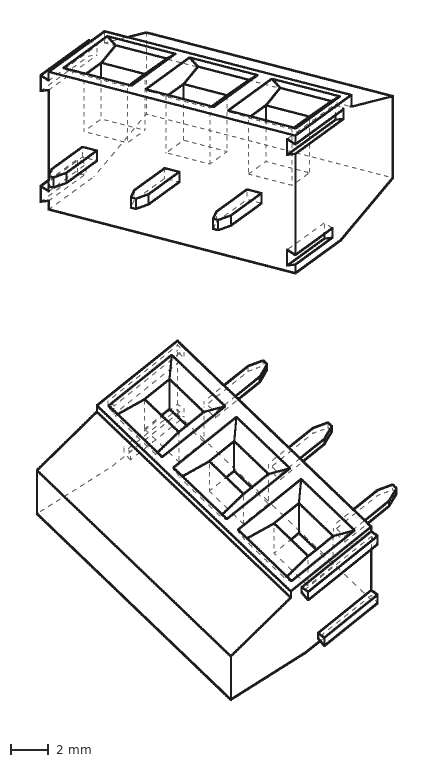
import cadquery as cq
import math


pole_count = 3
pole_pitch = 5.08
body_length = 15.24
body_depth = 10.1
body_height = 8.1
ledge_depth = 5.8
step_height = 0.7
back_slope_angle = 15
bottom_slope_start = 4.7

dovetail_depth = 0.5
dovetail_width = 0.93
dovetail_angle = 20
dovetail_margin = 0.33
upper_dovetail_length = 5.0
lower_dovetail_length = 3.84

pin_length = 4.0
pin_width = 0.9
pin_thickness = 0.6
pin_height = 3.9
pin_tip_width = 0.31
pin_tip_length = 0.82

pocket_width = 4.2
pocket_length = 4.53
pocket_front = 0.8
funnel_depth = 0.6
funnel_side_inset = 0.75
funnel_front_inset = 0.85
funnel_back_inset = 1.84
funnel_back_wall = 0.41
shaft_back_lip = 0.05
shaft_floor = pin_height + pin_thickness / 2

pole_centers = [body_length / 2 + (i - (pole_count - 1) / 2) * pole_pitch for i in range(pole_count)]


def housing():
    slope = math.tan(math.radians(back_slope_angle))
    step_bottom = body_height - step_height
    back_top = step_bottom - slope * (body_depth - ledge_depth)
    back_bottom = slope * (body_depth - bottom_slope_start)
    outline = [
        (0, 0),
        (bottom_slope_start, 0),
        (body_depth, back_bottom),
        (body_depth, back_top),
        (ledge_depth, step_bottom),
        (ledge_depth, body_height),
        (0, body_height),
    ]
    return cq.Workplane("YZ").polyline(outline).close().extrude(body_length)


def dovetail(face_x, center_z, length):
    """Bar along Y, narrow on the right at face_x and widening to the left."""
    wide = dovetail_width / 2
    narrow = wide - dovetail_depth * math.tan(math.radians(dovetail_angle))
    outline = [
        (face_x, center_z - narrow),
        (face_x, center_z + narrow),
        (face_x - dovetail_depth, center_z + wide),
        (face_x - dovetail_depth, center_z - wide),
    ]
    return cq.Workplane("XZ").polyline(outline).close().extrude(-length)


def pin(center_x):
    shoulder = pin_tip_length - pin_length
    outline = [
        (center_x - pin_width / 2, 0),
        (center_x - pin_width / 2, shoulder),
        (center_x - pin_tip_width / 2, -pin_length),
        (center_x + pin_tip_width / 2, -pin_length),
        (center_x + pin_width / 2, shoulder),
        (center_x + pin_width / 2, 0),
    ]
    bottom = pin_height - pin_thickness / 2
    return cq.Workplane("XY").workplane(offset=bottom).polyline(outline).close().extrude(pin_thickness)


def pocket(center_x):
    """Common volume of the pocket's width profile and its length profile."""
    funnel_bottom = body_height - funnel_depth
    half_width = pocket_width / 2
    half_shaft = half_width - funnel_side_inset
    width_outline = [
        (center_x - half_width, body_height),
        (center_x - half_shaft, funnel_bottom),
        (center_x - half_shaft, shaft_floor),
        (center_x + half_shaft, shaft_floor),
        (center_x + half_shaft, funnel_bottom),
        (center_x + half_width, body_height),
    ]
    pocket_back = pocket_front + pocket_length
    shaft_front = pocket_front + funnel_front_inset
    slope_end = pocket_back - funnel_back_inset
    length_outline = [
        (pocket_front, body_height),
        (shaft_front, funnel_bottom),
        (shaft_front, shaft_floor),
        (slope_end - shaft_back_lip, shaft_floor),
        (slope_end - shaft_back_lip, funnel_bottom),
        (slope_end, funnel_bottom),
        (pocket_back, body_height - funnel_back_wall),
        (pocket_back, body_height),
    ]
    across = cq.Workplane("XZ").polyline(width_outline).close().extrude(-body_depth)
    along = cq.Workplane("YZ").polyline(length_outline).close().extrude(body_length)
    return across.intersect(along)


result = housing()

lower_center = dovetail_margin + dovetail_width / 2
upper_center = body_height - lower_center
for center_z, length in [(upper_center, upper_dovetail_length), (lower_center, lower_dovetail_length)]:
    result = result.union(dovetail(0, center_z, length))
    result = result.cut(dovetail(body_length, center_z, length))

for center_x in pole_centers:
    result = result.union(pin(center_x)).cut(pocket(center_x))